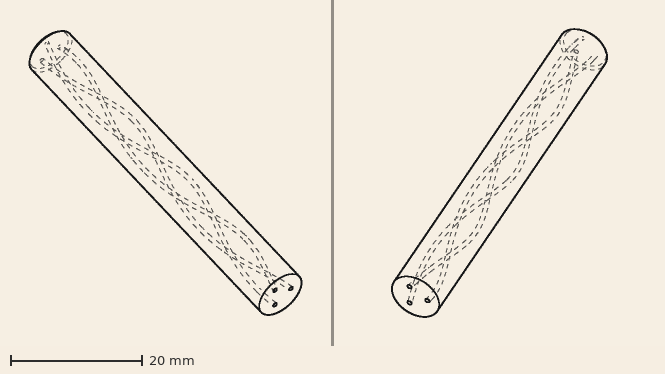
import cadquery as cq
import math

LENGTH = 60.0
DIAMETER = 8.0
CHAMFER = 0.4

CHANNEL_COUNT = 3
CHANNEL_DIAMETER = 0.7
CHANNEL_CIRCLE_RADIUS = 2.0
HELIX_ANGLE = 30.0
PITCH = math.pi * DIAMETER / math.tan(math.radians(HELIX_ANGLE))
TWIST = 360 * LENGTH / PITCH


def make_rod():
    """Plain round rod, chamfered at the X = 0 end."""
    rod = cq.Workplane("YZ").circle(DIAMETER / 2).extrude(LENGTH)
    return rod.faces("<X").chamfer(CHAMFER)


def make_channel(exit_angle):
    """Round cutter twisting about X, leaving the X = LENGTH face at exit_angle from +Y."""
    section = (
        cq.Workplane("YZ")
        .transformed(rotate=(0, 0, exit_angle - TWIST))
        .moveTo(CHANNEL_CIRCLE_RADIUS, 0)
        .circle(CHANNEL_DIAMETER / 2)
    )
    return section.twistExtrude(LENGTH, TWIST)


result = make_rod()
for index in range(CHANNEL_COUNT):
    result = result.cut(make_channel(index * 360 / CHANNEL_COUNT))